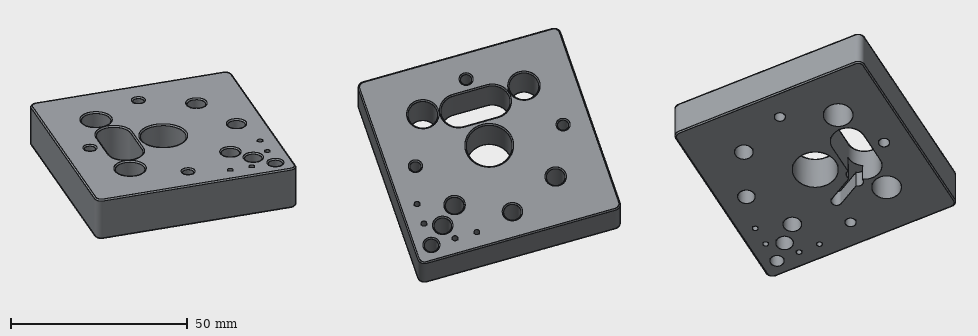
import cadquery as cq
import math

SIDE = 60.0
THICKNESS = 12.7
CORNER_RADIUS = 2.0
CHAMFER = 0.4
TOP = THICKNESS / 2
BOTTOM = -TOP

SQUARE_OFFSET = 15.0
AXIS_OFFSET = 21.9
DIAGONAL_OFFSET = 20.1
CORNER_OFFSET = 25.0
PIN_NEAR = 11.5
PIN_FAR = 18.0

CHAMFERED_HOLES = [
    (13.0, [(0, 0)]),
    (8.4, [(-SQUARE_OFFSET, -SQUARE_OFFSET), (SQUARE_OFFSET, -SQUARE_OFFSET)]),
    (5.3, [(-SQUARE_OFFSET, SQUARE_OFFSET), (SQUARE_OFFSET, SQUARE_OFFSET)]),
    (5.0, [(0, AXIS_OFFSET), (DIAGONAL_OFFSET, DIAGONAL_OFFSET)]),
    (4.0, [(CORNER_OFFSET, CORNER_OFFSET)]),
    (3.2, [(-AXIS_OFFSET, 0), (AXIS_OFFSET, 0), (0, -AXIS_OFFSET)]),
]

PIN_DIAMETER = 1.6
PIN_CENTRES = [
    (PIN_NEAR, CORNER_OFFSET),
    (PIN_FAR, CORNER_OFFSET),
    (CORNER_OFFSET, PIN_NEAR),
    (CORNER_OFFSET, PIN_FAR),
]

WINDOW_LENGTH = 20.05
WINDOW_WIDTH = 10.0
WINDOW_CENTRE = (0, -13.0)

GROOVE_WIDTH = 3.2
GROOVE_DEPTH = 6.0
RUN_START = (6.3, -8.4)
RUN_END = (9.5, -8.7)
BRANCH_START = (8.3, -8.4)
BRANCH_LENGTH = 9.6
BRANCH_ANGLE = 60.0


def plate():
    body = cq.Workplane("XY").box(SIDE, SIDE, THICKNESS)
    body = body.edges("|Z").fillet(CORNER_RADIUS)
    return body.faces("<Z or >Z").chamfer(CHAMFER)


def top_plane(centre=(0, 0)):
    return cq.Workplane("XY", origin=(*centre, TOP))


def hole(diameter, centre):
    return top_plane(centre).circle(diameter / 2).extrude(-THICKNESS)


def chamfered_hole(diameter, centre):
    rim = top_plane(centre).circle(diameter / 2 + CHAMFER).extrude(-CHAMFER, taper=45)
    return hole(diameter, centre).union(rim)


def window():
    opening = top_plane(WINDOW_CENTRE).slot2D(WINDOW_LENGTH, WINDOW_WIDTH).extrude(-THICKNESS)
    rim_outline = top_plane(WINDOW_CENTRE).slot2D(WINDOW_LENGTH + 2 * CHAMFER, WINDOW_WIDTH + 2 * CHAMFER)
    return opening.union(rim_outline.extrude(-CHAMFER, taper=45))


def groove_run(start, length, angle):
    """Round-ended groove; start is the centre of one end, length the distance to the other centre."""
    plane = cq.Workplane("XY", origin=(*start, BOTTOM)).transformed(rotate=(0, 0, angle))
    return plane.center(length / 2, 0).slot2D(length + GROOVE_WIDTH, GROOVE_WIDTH).extrude(GROOVE_DEPTH)


def groove():
    run_x = RUN_END[0] - RUN_START[0]
    run_y = RUN_END[1] - RUN_START[1]
    run = groove_run(RUN_START, math.hypot(run_x, run_y), math.degrees(math.atan2(run_y, run_x)))
    return run.union(groove_run(BRANCH_START, BRANCH_LENGTH, BRANCH_ANGLE))


result = plate()
for hole_diameter, centres in CHAMFERED_HOLES:
    for hole_centre in centres:
        result = result.cut(chamfered_hole(hole_diameter, hole_centre))
for pin_centre in PIN_CENTRES:
    result = result.cut(hole(PIN_DIAMETER, pin_centre))
result = result.cut(window()).cut(groove())